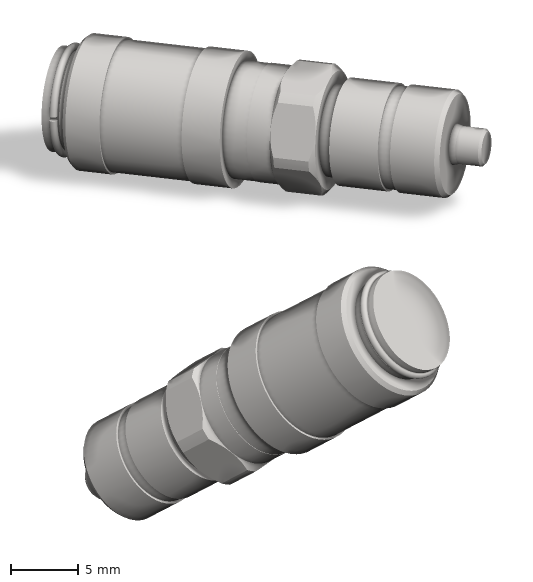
import cadquery as cq
import math

total_length = 33.55

nose_diameter = 8.0
groove_diameter = 7.4
groove_start = 0.65
groove_end = 1.38

wire_diameter = 0.6
ring_gap = 0.35

collar_diameter = 10.35
barrel_diameter = 10.0
sleeve_start = 1.95
front_collar_end = 4.9
rear_collar_start = 11.35
sleeve_end = 14.33
collar_chamfer_length = 0.3
collar_chamfer_depth = 0.27

front_shank_diameter = 8.9
rear_shank_diameter = 8.95
shank_step = 16.25

hex_across_flats = 9.0
hex_corner_diameter = 9.9
hex_start = 18.0
hex_end = 21.57
hex_chamfer_length = 0.4
hex_corner_angle = 14.2

neck_diameter = 7.0
plug_diameter = 8.15
plug_groove_diameter = 7.8
plug_start = 22.55
plug_groove_start = 26.35
plug_groove_end = 27.3
plug_end = 31.1
plug_chamfer_length = 0.35
plug_chamfer_depth = 0.27

tip_diameter = 2.85
tip_base_diameter = 3.12
tip_base_end = 31.57
tip_chamfer = 0.2


def cone(start, end, start_diameter, end_diameter):
    """Solid of revolution about X whose diameter changes evenly from start to end."""
    outline = [(start, 0), (start, start_diameter / 2), (end, end_diameter / 2), (end, 0)]
    return cq.Workplane("XY").polyline(outline).close().revolve(360, (0, 0, 0), (1, 0, 0))


def cylinder(start, end, diameter):
    """Round bar along X from start to end."""
    return cone(start, end, diameter, diameter)


def make_nose():
    nose = cylinder(0, sleeve_start, nose_diameter)
    groove = cylinder(groove_start, groove_end, nose_diameter)
    groove_floor = cylinder(groove_start, groove_end, groove_diameter)
    return nose.cut(groove.cut(groove_floor))


def make_sleeve():
    chamfer_end = sleeve_start + collar_chamfer_length
    front_diameter = collar_diameter - 2 * collar_chamfer_depth
    chamfer = cone(sleeve_start, chamfer_end, front_diameter, collar_diameter)
    front_collar = cylinder(chamfer_end, front_collar_end, collar_diameter)
    barrel = cylinder(front_collar_end, rear_collar_start, barrel_diameter)
    rear_collar = cylinder(rear_collar_start, sleeve_end, collar_diameter)
    return chamfer.union(front_collar).union(barrel).union(rear_collar)


def make_shank():
    front_shank = cylinder(sleeve_end, shank_step, front_shank_diameter)
    rear_shank = cylinder(shank_step, hex_start, rear_shank_diameter)
    return front_shank.union(rear_shank)


def make_hexagon():
    across_corners = hex_across_flats / math.cos(math.radians(30))
    prism = (
        cq.Workplane("YZ", origin=(hex_start, 0, 0))
        .transformed(rotate=(0, 0, hex_corner_angle))
        .polygon(6, across_corners)
        .extrude(hex_end - hex_start)
    )
    front_chamfer_end = hex_start + hex_chamfer_length
    rear_chamfer_start = hex_end - hex_chamfer_length
    envelope = (
        cone(hex_start, front_chamfer_end, rear_shank_diameter, hex_corner_diameter)
        .union(cylinder(front_chamfer_end, rear_chamfer_start, hex_corner_diameter))
        .union(cone(rear_chamfer_start, hex_end, hex_corner_diameter, rear_shank_diameter))
    )
    return prism.intersect(envelope)


def make_plug():
    chamfer_start = plug_end - plug_chamfer_length
    end_diameter = plug_diameter - 2 * plug_chamfer_depth
    return (
        cylinder(hex_end, plug_start, neck_diameter)
        .union(cylinder(plug_start, plug_groove_start, plug_diameter))
        .union(cylinder(plug_groove_start, plug_groove_end, plug_groove_diameter))
        .union(cylinder(plug_groove_end, chamfer_start, plug_diameter))
        .union(cone(chamfer_start, plug_end, plug_diameter, end_diameter))
    )


def make_tip():
    base = cone(plug_end, tip_base_end, tip_base_diameter, tip_diameter)
    pin = cylinder(tip_base_end, total_length, tip_diameter).faces(">X").chamfer(tip_chamfer)
    return base.union(pin)


def make_coupling_body():
    return (
        make_nose()
        .union(make_sleeve())
        .union(make_shank())
        .union(make_hexagon())
        .union(make_plug())
        .union(make_tip())
    )


def make_snap_ring():
    wire_radius = wire_diameter / 2
    ring_radius = groove_diameter / 2 + wire_radius
    ring_center = groove_start + wire_radius
    ring = (
        cq.Workplane("XY")
        .center(ring_center, ring_radius)
        .circle(wire_radius)
        .revolve(360, (0, -ring_radius, 0), (1, -ring_radius, 0))
    )
    gap = cq.Workplane("XY").box(2 * wire_diameter, 2 * wire_diameter, ring_gap)
    return ring.cut(gap.translate((ring_center, -ring_radius, 0)))


coupling_body = make_coupling_body()
snap_ring = make_snap_ring()

result = cq.Compound.makeCompound([coupling_body.val(), snap_ring.val()])